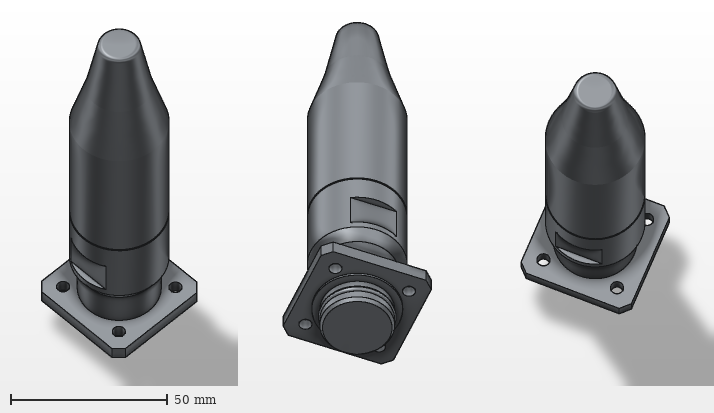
import cadquery as cq

total_height = 142.7

flange_side = 38.1
flange_corner_chamfer = 3.0
flange_bottom = 9.8
flange_top = 14.5
hole_diameter = 4.1
hole_spacing = 25.4

spigot_radius = 24.0 / 2
spigot_chamfer_width = 0.9
spigot_chamfer_height = 1.3
collar_radius = 29.1 / 2
collar_bottom = 9.0
groove_radius = 20.0 / 2
groove_bottom = 4.1
groove_top = 6.5
ring_outer_radius = 24.8 / 2
ring_center_height = 5.4
ring_section_radius = (ring_outer_radius - groove_radius) / 2

neck_radius = 27.0 / 2
barrel_radius = 32.0 / 2
flare_bottom = 26.7
barrel_bottom = 31.0
barrel_top = 101.7

nose_break_radius = 21.5 / 2
nose_break_height = 120.9
tip_radius = 13.4 / 2
tip_fillet = 1.7

joint_center_height = 54.8
joint_width = 0.4
joint_depth = 0.1

flats_distance = 27.7
flat_bottom = 33.4
flat_top = 45.5


def joint_cutter():
    """Annular cutter for the fine groove; it overlaps the barrel surface by the groove depth."""
    return (
        cq.Workplane("XY", origin=(0, 0, joint_center_height - joint_width / 2))
        .circle(barrel_radius + joint_depth)
        .circle(barrel_radius - joint_depth)
        .extrude(joint_width)
    )


def turned_body():
    """Spigot, neck, barrel and nose as one revolved profile."""
    body = (
        cq.Workplane("XZ")
        .moveTo(0, 0)
        .lineTo(spigot_radius - spigot_chamfer_width, 0)
        .lineTo(spigot_radius, spigot_chamfer_height)
        .lineTo(spigot_radius, groove_bottom)
        .lineTo(groove_radius, groove_bottom)
        .lineTo(groove_radius, groove_top)
        .lineTo(spigot_radius, groove_top)
        .lineTo(spigot_radius, collar_bottom)
        .lineTo(collar_radius, collar_bottom)
        .lineTo(collar_radius, flange_bottom)
        .lineTo(neck_radius, flange_bottom)
        .lineTo(neck_radius, flare_bottom)
        .lineTo(barrel_radius, barrel_bottom)
        .lineTo(barrel_radius, barrel_top)
        .lineTo(nose_break_radius, nose_break_height)
        .lineTo(tip_radius, total_height)
        .lineTo(0, total_height)
        .close()
        .revolve(360, (0, 0, 0), (0, 1, 0))
    )
    return body.faces(">Z").edges().fillet(tip_fillet)


def o_ring():
    """O-ring with a rounded outer side, its flat inner side on the groove floor."""
    crown_radius = ring_outer_radius - ring_section_radius
    ring_bottom = ring_center_height - ring_section_radius
    ring_top = ring_center_height + ring_section_radius
    return (
        cq.Workplane("XZ")
        .moveTo(groove_radius, ring_bottom)
        .lineTo(crown_radius, ring_bottom)
        .threePointArc((ring_outer_radius, ring_center_height), (crown_radius, ring_top))
        .lineTo(groove_radius, ring_top)
        .close()
        .revolve(360, (0, 0, 0), (0, 1, 0))
    )


def flange():
    """Square plate with chamfered corners and four through holes."""
    plate = (
        cq.Workplane("XY", origin=(0, 0, flange_bottom))
        .rect(flange_side, flange_side)
        .extrude(flange_top - flange_bottom)
        .edges("|Z")
        .chamfer(flange_corner_chamfer)
    )
    return (
        plate.faces(">Z")
        .workplane()
        .rect(hole_spacing, hole_spacing, forConstruction=True)
        .vertices()
        .hole(hole_diameter)
    )


def flat_cutter(side):
    """Block that cuts one wrench flat; side is -1 (front) or 1 (back)."""
    return cq.Workplane("XY").box(
        2 * barrel_radius, barrel_radius, flat_top - flat_bottom, centered=(True, True, False)
    ).translate((0, side * (flats_distance + barrel_radius) / 2, flat_bottom))


result = turned_body().union(flange()).union(o_ring()).cut(joint_cutter())
for side in (-1, 1):
    result = result.cut(flat_cutter(side))